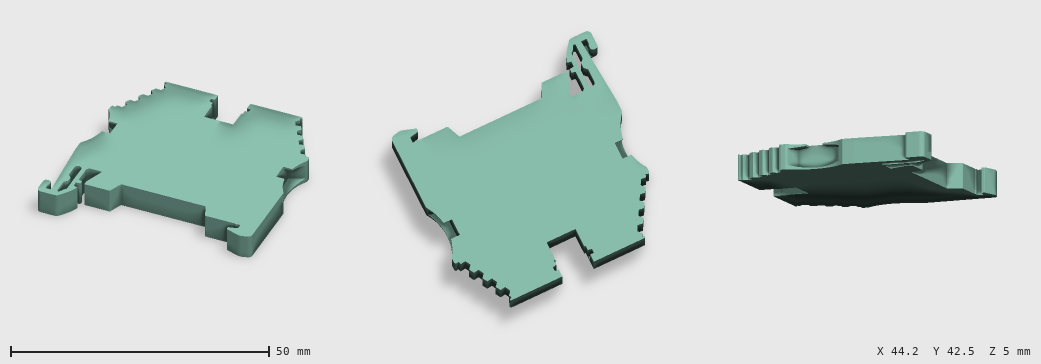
import cadquery as cq
import math


overall_length = 44.2
thickness = 5.0
height = 42.5
side_x = 21.0
flank_x = -21.65
hook_x = side_x - overall_length

slot_half_width_top = 3.4
slot_half_width_bottom = 3.1
slot_step_depth = 3.62
slot_depth = 7.5
keyway_depth = 0.8
keyway_narrowing = 0.2
keyway_upper_y = height - 1.65
keyway_lower_y = height - 2.7

blind_floor = 0.57

tooth_count = 4
tooth_step = (1.55, -2.7)
first_tooth_tip = (14.35, 41.45)
tooth_root_offset = (-0.65, -0.8)
tooth_foot_offset = (-0.1, -1.85)
tooth_crest_offset = (0.97, -1.72)

recess_radius = 9.95
recess_y = 24.18
recess_bottom_x = 19.23
recess_edge_radius = 0.45
recess_center_x = recess_bottom_x + recess_radius
pocket_back_x = 17.55
pocket_back_half_length = 4.25
pocket_wall_angle = 19.5
barrel_half_length = 5.35
pocket_end_height = 3.15
pocket_middle_height = 4.4
window_y_min = 22.75
window_y_max = 26.25

rail_seat_y = 8.4
rail_foot_y = 5.55
rail_seat_half_width = 8.95
rail_foot_inner_x = 10.08


def rounded_outline(corners):
    """Closed wire through (x, y, radius) corners, with a tangent arc where radius > 0."""
    stretches = []
    for i, (x, y, radius) in enumerate(corners):
        if radius == 0:
            stretches.append([(x, y)])
            continue
        before = corners[i - 1]
        after = corners[(i + 1) % len(corners)]
        corner = cq.Vector(x, y)
        to_before = (cq.Vector(before[0], before[1]) - corner).normalized()
        to_after = (cq.Vector(after[0], after[1]) - corner).normalized()
        half_angle = to_before.getAngle(to_after) / 2
        setback = radius / math.tan(half_angle)
        sagitta_reach = radius / math.sin(half_angle) - radius
        start = corner + to_before * setback
        middle = corner + (to_before + to_after).normalized() * sagitta_reach
        end = corner + to_after * setback
        stretches.append([(p.x, p.y) for p in (start, middle, end)])

    wire = cq.Workplane("XY").moveTo(*stretches[0][-1])
    for stretch in stretches[1:] + stretches[:1]:
        wire = wire.lineTo(*stretch[0])
        if len(stretch) > 1:
            wire = wire.threePointArc(stretch[1], stretch[2])
    return wire.close()


def shoulder(side):
    """Toothed shoulder from the top edge down to the body side; side is +1 or -1."""
    points = [(14.45, height), (14.6, 42.2), (14.05, 42.0)]
    for i in range(tooth_count):
        tip_x = first_tooth_tip[0] + i * tooth_step[0]
        tip_y = first_tooth_tip[1] + i * tooth_step[1]
        points.append((tip_x, tip_y))
        for dx, dy in (tooth_root_offset, tooth_foot_offset, tooth_crest_offset):
            points.append((tip_x + dx, tip_y + dy))
    points += [(20.15, 31.05), (20.77, 31.2), (side_x, 30.85)]
    return [(side * x, y, 0) for x, y in points]


def top_slot():
    """Stepped slot between the two halves of the top edge, from left to right."""
    step_y = height - slot_step_depth
    floor_y = height - slot_depth
    left = [
        (-slot_half_width_top, height, 0),
        (-slot_half_width_top, step_y, 0),
        (-slot_half_width_bottom, step_y, 0),
        (-slot_half_width_bottom, floor_y, 0),
    ]
    return left + [(-x, y, radius) for x, y, radius in reversed(left)]


def fixed_foot():
    """Right-hand rail hook and the rail seat, running from right to left."""
    return [
        (side_x, 2.8, 0.97),
        (18.8, 2.25, 1.85),
        (15.65, 3.25, 0.15),
        (15.65, 4.0, 0.15),
        (17.55, 4.38, 0.18),
        (17.55, rail_foot_y, 0),
        (16.97, rail_foot_y, 0),
        (16.9, 5.45, 0),
        (16.45, 5.45, 0),
        (16.35, rail_foot_y, 0),
        (rail_foot_inner_x, rail_foot_y, 0.2),
        (rail_seat_half_width, rail_seat_y, 0.2),
        (-rail_seat_half_width, rail_seat_y, 0.2),
        (-rail_foot_inner_x, rail_foot_y, 0.2),
    ]


def spring_foot():
    """Left-hand sprung rail catch with its release hook, running up to the left side."""
    return [
        (-15.45, rail_foot_y, 0),
        (-15.45, 6.55, 0),
        (-13.92, 10.65, 0.2),
        (-17.05, 10.65, 0.75),
        (-17.05, 6.45, 0.18),
        (-16.25, 6.35, 0),
        (-16.25, 5.5, 0),
        (-17.2, 5.4, 0),
        (-17.2, 4.3, 0),
        (-16.25, 4.1, 0),
        (-16.75, 2.75, 7.95),
        (-18.85, 0, 0.97),
        (hook_x, 0, 0.97),
        (hook_x, 4.0, 0.6),
        (-20.85, 4.0, 0),
        (flank_x, 15.1, 6.2),
        (flank_x, recess_y, 0),
        (-side_x, recess_y, 0),
    ]


def plate():
    corners = top_slot() + shoulder(1) + fixed_foot() + spring_foot() + shoulder(-1)[::-1]
    body = rounded_outline(corners).extrude(thickness)
    recesses = (
        cq.Workplane("XY")
        .pushPoints([(-recess_center_x, recess_y), (recess_center_x, recess_y)])
        .circle(recess_radius)
        .extrude(thickness)
    )
    body = body.cut(recesses)

    upper_rise = math.sqrt(recess_radius**2 - (recess_center_x - side_x) ** 2)
    lower_left_drop = math.sqrt(recess_radius**2 - (recess_center_x + flank_x) ** 2)
    mid_z = thickness / 2
    edge_points = [
        (-side_x, recess_y + upper_rise, mid_z),
        (side_x, recess_y + upper_rise, mid_z),
        (side_x, recess_y - upper_rise, mid_z),
        (flank_x, recess_y - lower_left_drop, mid_z),
    ]
    for point in edge_points:
        body = body.edges(cq.NearestToPointSelector(point)).fillet(recess_edge_radius)
    return body


def spring_slit():
    """Through slit that frees the spring arm, with a bump on its outer side."""
    return rounded_outline([
        (-19.45, 10.5, 0.7),
        (-18.0, 10.5, 0.7),
        (-18.0, 2.7, 0),
        (-18.3, 2.55, 0),
        (-19.1, 1.3, 0.18),
        (-19.45, 1.55, 0.15),
        (-19.45, 4.7, 0),
        (-18.75, 5.35, 0.4),
        (-18.75, 6.45, 0.4),
        (-19.45, 7.15, 0),
    ]).extrude(thickness)


def release_slit():
    """Blind groove between the release hook and the spring arm, open toward the side."""
    return rounded_outline([
        (-22.05, 4.0, 0),
        (-21.65, 3.62, 0.2),
        (-21.65, 2.75, 0),
        (-21.85, 2.55, 0),
        (-21.85, 1.4, 0),
        (-20.7, 1.4, 0),
        (-20.85, 4.0, 0),
    ]).extrude(thickness).translate((0, 0, blind_floor))


def keyway():
    """Blind keyway in the right wall of the top slot."""
    back_x = slot_half_width_top + keyway_depth
    return cq.Workplane("XY", origin=(0, 0, blind_floor)).polyline([
        (slot_half_width_bottom, keyway_upper_y),
        (back_x, keyway_upper_y),
        (back_x, keyway_lower_y + keyway_narrowing),
        (slot_half_width_bottom, keyway_lower_y),
    ]).close().extrude(thickness)


def label_pocket():
    """Barrel-shaped pocket in the right finger recess, with a window in the top face."""
    reach = recess_center_x - pocket_back_x
    mouth_half_length = pocket_back_half_length + reach * math.tan(math.radians(pocket_wall_angle))
    plan = cq.Workplane("XY").polyline([
        (pocket_back_x, recess_y - pocket_back_half_length),
        (pocket_back_x, recess_y + pocket_back_half_length),
        (recess_center_x, recess_y + mouth_half_length),
        (recess_center_x, recess_y - mouth_half_length),
    ]).close().extrude(thickness)

    mid_z = thickness / 2
    end_rise = pocket_end_height / 2
    middle_rise = pocket_middle_height / 2
    y_min = recess_y - barrel_half_length
    y_max = recess_y + barrel_half_length
    barrel = (
        cq.Workplane("YZ", origin=(pocket_back_x, 0, 0))
        .moveTo(y_min, mid_z - end_rise)
        .threePointArc((recess_y, mid_z - middle_rise), (y_max, mid_z - end_rise))
        .lineTo(y_max, mid_z + end_rise)
        .threePointArc((recess_y, mid_z + middle_rise), (y_min, mid_z + end_rise))
        .close()
        .extrude(reach)
    )

    window = cq.Workplane("XY").box(
        reach, window_y_max - window_y_min, thickness - mid_z, centered=False
    ).translate((pocket_back_x, window_y_min, mid_z))
    return plan.intersect(barrel).union(window)


result = plate().cut(spring_slit()).cut(release_slit())
for cutter in (keyway(), label_pocket()):
    result = result.cut(cutter).cut(cutter.mirror("YZ"))